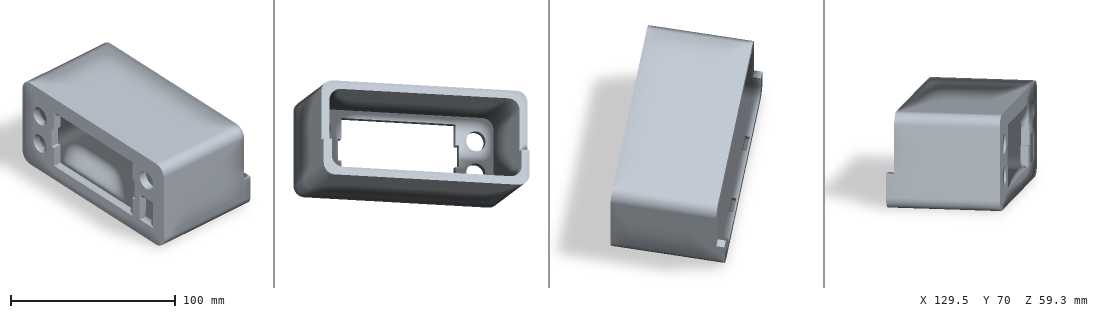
import cadquery as cq

width = 129.5
depth = 70.0
height = 59.3
corner_radius = 7.0

wall = 5.0
panel_thickness = 5.0
lip_length = 5.0
lip_height = 22.0

window_width = 71.7
window_height = 39.4
notch_width = 76.1
notch_height = 13.2

control_offset = 48.7
hole_diameter = 12.2
left_hole_offset = 10.0
right_hole_height = 12.8
switch_width = 12.0
switch_height = 18.6
switch_center_height = -9.6

latch_spacing = 45.3
latch_length = 10.4
latch_width = 2.7
latch_depth = 2.6

body_depth = depth - lip_length


def block(size_x, size_y, size_z, x=0.0, y=0.0, z=0.0):
    """Box centered in X and Z at (x, z), extending toward +Y from y."""
    return cq.Workplane("XY").box(size_x, size_y, size_z, centered=(True, False, True)).translate((x, y, z))


def make_shell():
    """Rounded box with a front panel and an open rear."""
    outer = block(width, depth, height).edges("|Y").fillet(corner_radius)
    cavity = block(width - 2 * wall, depth - panel_thickness, height - 2 * wall, y=panel_thickness)
    return outer.cut(cavity.edges("|Y").fillet(corner_radius))


def cut_lip(body):
    """Remove the upper part of the rear rim, leaving a U-shaped lip."""
    removed_height = height - lip_height
    return body.cut(block(width, lip_length, removed_height, y=body_depth, z=lip_height / 2))


def cut_window(body):
    window = block(window_width, panel_thickness, window_height)
    notch = block(notch_width, panel_thickness, notch_height)
    return body.cut(window).cut(notch)


def cut_controls(body):
    """Three round holes and one rectangular switch opening in the front panel."""
    hole_centers = [
        (-control_offset, left_hole_offset),
        (-control_offset, -left_hole_offset),
        (control_offset, right_hole_height),
    ]
    holes = cq.Workplane("XZ").pushPoints(hole_centers).circle(hole_diameter / 2).extrude(-panel_thickness)
    switch = block(switch_width, panel_thickness, switch_height, x=control_offset, z=switch_center_height)
    return body.cut(holes).cut(switch)


def cut_latches(body):
    """Two shallow pockets, centered along the lip's length."""
    floor_height = wall - height / 2
    start_y = body_depth + (lip_length - latch_width) / 2
    for side in (-1, 1):
        pocket = block(
            latch_length,
            latch_width,
            latch_depth,
            x=side * latch_spacing / 2,
            y=start_y,
            z=floor_height - latch_depth / 2,
        )
        body = body.cut(pocket)
    return body


shell = cut_lip(make_shell())
result = cut_latches(cut_controls(cut_window(shell)))